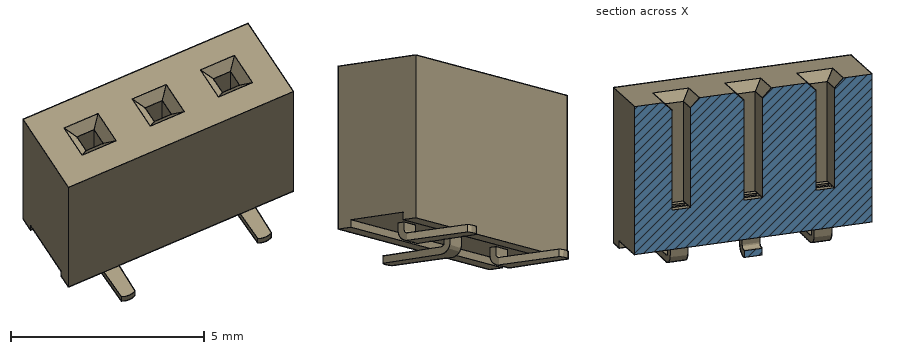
import cadquery as cq
import math

body_length = 6.6
body_width = 2.5
standoff = 0.3
overall_height = 4.6
notch_width = 1.67
notch_depth = 0.2
notch_top = standoff + notch_depth

pitch = 2.0
contact_count = 3
reach = 2.15
metal_thickness = 0.2
contact_width = 0.495
tip_width = 0.4
tip_bulge = 0.05
inner_bend_radius = 0.1
outer_bend_radius = inner_bend_radius + metal_thickness

mouth_size = 0.995
hole_size = 0.5
funnel_depth = (mouth_size - hole_size) / 2
hole_depth = 3.0
floor_z = overall_height - hole_depth
slot_width = metal_thickness
slot_top_length = hole_size
slot_bottom_length = 0.41
slot_depth = (slot_top_length - slot_bottom_length) / 2


def make_housing():
    block = (
        cq.Workplane("XY", origin=(0, 0, standoff))
        .rect(body_width, body_length)
        .extrude(overall_height - standoff)
    )
    notch = (
        cq.Workplane("XY", origin=(0, 0, standoff))
        .rect(notch_width, body_length)
        .extrude(notch_depth)
    )
    return block.cut(notch)


def make_socket(y):
    """Square funnel, straight hole and a tapering slot in the hole's floor."""
    hole = (
        cq.Workplane("XY", origin=(0, y, floor_z))
        .rect(hole_size, hole_size)
        .extrude(hole_depth - funnel_depth)
    )
    funnel = (
        cq.Workplane("XY", origin=(0, y, overall_height - funnel_depth))
        .rect(hole_size, hole_size)
        .workplane(offset=funnel_depth)
        .rect(mouth_size, mouth_size)
        .loft(ruled=True)
    )
    slot = (
        cq.Workplane("XY", origin=(0, y, floor_z - slot_depth))
        .rect(slot_width, slot_bottom_length)
        .workplane(offset=slot_depth)
        .rect(slot_width, slot_top_length)
        .loft(ruled=True)
    )
    return hole.union(funnel).union(slot)


def make_contact(y, side):
    """Stem bent into a foot; side is +1 for a foot towards +X, -1 towards -X."""
    half_thickness = metal_thickness / 2
    bend_end = outer_bend_radius - half_thickness
    diagonal = math.sqrt(0.5)
    outer_mid = (
        bend_end - outer_bend_radius * diagonal,
        outer_bend_radius * (1 - diagonal),
    )
    inner_mid = (
        bend_end - inner_bend_radius * diagonal,
        outer_bend_radius - inner_bend_radius * diagonal,
    )
    bent_strip = (
        cq.Workplane("XZ", origin=(0, contact_width / 2, 0))
        .moveTo(-half_thickness, notch_top)
        .lineTo(-half_thickness, outer_bend_radius)
        .threePointArc(outer_mid, (bend_end, 0))
        .lineTo(reach, 0)
        .lineTo(reach, metal_thickness)
        .lineTo(bend_end, metal_thickness)
        .threePointArc(inner_mid, (half_thickness, outer_bend_radius))
        .lineTo(half_thickness, notch_top)
        .close()
        .extrude(contact_width)
    )
    foot_outline = (
        cq.Workplane("XY")
        .moveTo(-half_thickness, -contact_width / 2)
        .lineTo(bend_end, -contact_width / 2)
        .lineTo(reach - tip_bulge, -tip_width / 2)
        .threePointArc((reach, 0), (reach - tip_bulge, tip_width / 2))
        .lineTo(bend_end, contact_width / 2)
        .lineTo(-half_thickness, contact_width / 2)
        .close()
        .extrude(notch_top)
    )
    contact = bent_strip.intersect(foot_outline)
    if side < 0:
        contact = contact.mirror("YZ")
    return contact.translate((0, y, 0))


result = make_housing()
for index in range(contact_count):
    contact_y = (index - (contact_count - 1) / 2) * pitch
    foot_side = 1 if index % 2 == 0 else -1
    result = result.cut(make_socket(contact_y))
    result = result.union(make_contact(contact_y, foot_side))